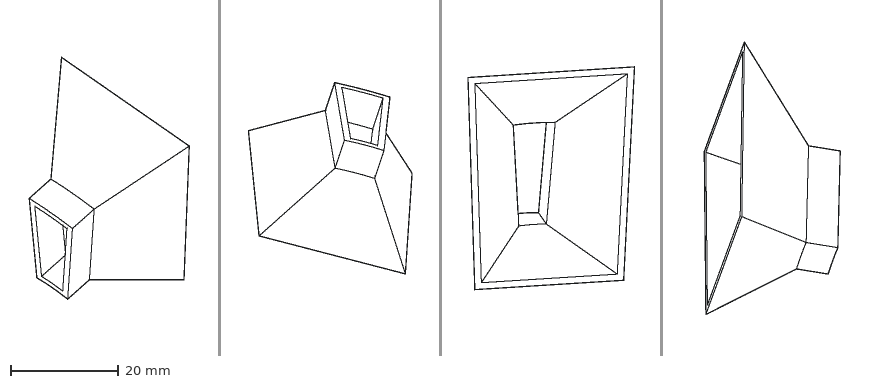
import cadquery as cq

neck_length = 6.1
flare_length = 14.9
rim_y = neck_length + flare_length

wall = 1.3
bore_length = 6.8

neck_corners = [(-5.4, 7.15), (5.43, 7.25), (4.25, -15.4), (-3.48, -15.47)]
rim_corners = [(-15.95, 20.85), (16.0, 21.2), (14.65, -20.85), (-13.85, -21.2)]

neck_bow = 0.25
rim_bow = 0.005


def bowed_middle(start, end, bow):
    """Point halfway between two corners, raised by the bow."""
    return ((start[0] + end[0]) / 2, (start[1] + end[1]) / 2 + bow)


def outline(corners, bow, y, inset=0):
    """Four-sided wire with bowed top and bottom, in the XZ plane at the given Y."""
    top_left, top_right, bottom_right, bottom_left = corners
    profile = (
        cq.Workplane("XZ", origin=(0, y, 0))
        .moveTo(*top_left)
        .threePointArc(bowed_middle(top_left, top_right, bow), top_right)
        .lineTo(*bottom_right)
        .threePointArc(bowed_middle(bottom_right, bottom_left, bow), bottom_left)
        .close()
    )
    if inset:
        profile = profile.offset2D(-inset, "intersection")
    return profile.val()


def duct(straight_length, inset=0):
    """Solid straight neck followed by a ruled flare out to the rim."""
    opening = outline(neck_corners, neck_bow, 0, inset)
    throat = outline(neck_corners, neck_bow, straight_length, inset)
    rim = outline(rim_corners, rim_bow, rim_y, inset)
    neck = cq.Solid.makeLoft([opening, throat], True)
    flare = cq.Solid.makeLoft([throat, rim], True)
    return cq.Workplane(obj=neck).union(cq.Workplane(obj=flare))


body = duct(neck_length)
cavity = duct(bore_length, wall)
result = body.cut(cavity)